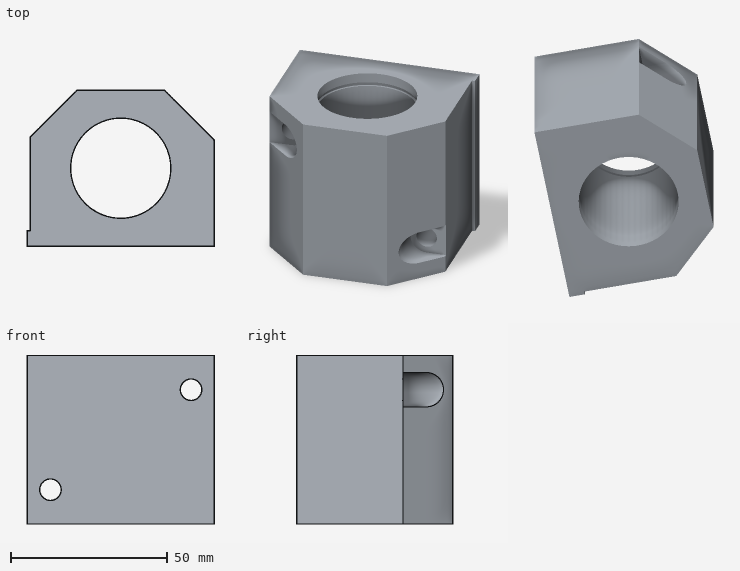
import cadquery as cq

width = 60.0
depth = 50.0
height = 54.0

ledge_step = 1.0
ledge_depth = 5.0

rear_face_width = 28.0

bore_diameter = 32.0
groove_diameter = 33.5
groove_width = 1.3
groove_offset = 3.2

hole_diameter = 6.8
hole_spacing_x = 45.0
hole_spacing_z = 32.0
head_slot_width = 11.0
head_slot_depth = 16.0

right_x = width / 2
left_x = -width / 2
body_left_x = left_x + ledge_step
front_y = -depth / 2
rear_y = depth / 2
rear_half = rear_face_width / 2


def make_block():
    """Block profile with the side ledge and the sloped rear corners."""
    left_slope = -rear_half - body_left_x
    right_slope = right_x - rear_half
    profile = [
        (left_x, front_y),
        (right_x, front_y),
        (right_x, rear_y - right_slope),
        (rear_half, rear_y),
        (-rear_half, rear_y),
        (body_left_x, rear_y - left_slope),
        (body_left_x, front_y + ledge_depth),
        (left_x, front_y + ledge_depth),
    ]
    return cq.Workplane("XY").polyline(profile).close().extrude(height)


def make_bore():
    """Through bore joined with its retaining ring groove."""
    groove_bottom = height - groove_offset - groove_width
    bore = cq.Workplane("XY").circle(bore_diameter / 2).extrude(height)
    groove = (
        cq.Workplane("XY")
        .workplane(offset=groove_bottom)
        .circle(groove_diameter / 2)
        .extrude(groove_width)
    )
    return bore.union(groove)


def make_mounting_hole(side):
    """Through hole and round-ended head slot open to one side (-1 left, +1 right)."""
    hole_x = side * hole_spacing_x / 2
    hole_z = height / 2 + side * hole_spacing_z / 2
    slot_reach = right_x - hole_spacing_x / 2

    front_plane = cq.Workplane("XZ", origin=(hole_x, front_y, hole_z))
    slot_floor_y = rear_y - head_slot_depth
    floor_plane = cq.Workplane("XZ", origin=(hole_x, slot_floor_y, hole_z))

    hole = front_plane.circle(hole_diameter / 2).extrude(-depth)
    slot_end = floor_plane.circle(head_slot_width / 2).extrude(-head_slot_depth)
    slot_opening = (
        floor_plane.center(side * slot_reach / 2, 0)
        .rect(slot_reach, head_slot_width)
        .extrude(-head_slot_depth)
    )
    return hole.union(slot_end).union(slot_opening)


result = make_block().cut(make_bore())
for side in (-1, 1):
    result = result.cut(make_mounting_hole(side))